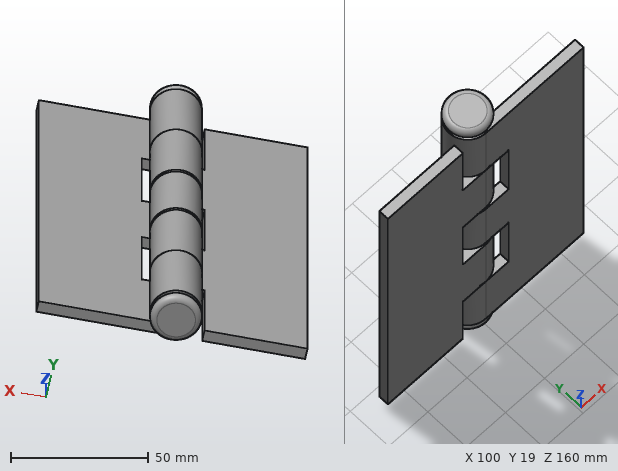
import cadquery as cq

pin_length = 160
hinge_width = 100.0
head_height = 5.0
barrel_diameter = 19.0
pin_diameter = 10.0

leaf_height = pin_length - 2 * head_height
barrel_radius = barrel_diameter / 2
pin_radius = pin_diameter / 2
leaf_thickness = barrel_radius - pin_radius
leaf_reach = hinge_width / 2

knuckle_count = 5
knuckle_pitch = leaf_height / knuckle_count
middle_knuckle_gap = 1.5
notch_depth = 11.7
middle_index = knuckle_count // 2

head_round = head_height / 2


def knuckle_span(index):
    """Return the bottom and top Z of one knuckle, counted from the bottom."""
    bottom = -leaf_height / 2 + index * knuckle_pitch
    gap = middle_knuckle_gap if index == middle_index else 0
    return bottom + gap, bottom + knuckle_pitch - gap


def make_leaf(side, knuckle_indices):
    """Build a leaf with its knuckles; side is +1 for the +X leaf and -1 for the -X leaf."""
    plate_width = leaf_reach - notch_depth
    plate_center_x = side * (notch_depth + plate_width / 2)
    plate_center_y = -barrel_radius + leaf_thickness / 2
    leaf = (
        cq.Workplane("XY")
        .box(plate_width, leaf_thickness, leaf_height)
        .translate((plate_center_x, plate_center_y, 0))
    )
    for index in knuckle_indices:
        bottom, top = knuckle_span(index)
        base = cq.Workplane("XY").workplane(offset=bottom)
        barrel = base.circle(barrel_radius).extrude(top - bottom)
        tongue = (
            base.center(side * notch_depth / 2, plate_center_y)
            .rect(notch_depth, leaf_thickness)
            .extrude(top - bottom)
        )
        leaf = leaf.union(barrel).union(tongue)
    bore = cq.Workplane("XY").circle(pin_radius).extrude(leaf_height / 2, both=True)
    return leaf.cut(bore)


def make_pin():
    """Build the pin with a fully rounded head at each end."""
    pin = cq.Workplane("XY").circle(pin_radius).extrude(leaf_height / 2, both=True)
    flat_radius = barrel_radius - head_round
    head_profile = (
        cq.Workplane("XZ")
        .moveTo(0, leaf_height / 2)
        .lineTo(flat_radius, leaf_height / 2)
        .threePointArc((barrel_radius, leaf_height / 2 + head_round), (flat_radius, pin_length / 2))
        .lineTo(0, pin_length / 2)
        .close()
    )
    head = head_profile.revolve(360, (0, 0, 0), (0, 1, 0))
    return pin.union(head).union(head.mirror("XY"))


right_leaf = make_leaf(1, range(0, knuckle_count, 2))
left_leaf = make_leaf(-1, range(1, knuckle_count, 2))
pin = make_pin()

result = cq.Compound.makeCompound([right_leaf.val(), left_leaf.val(), pin.val()])